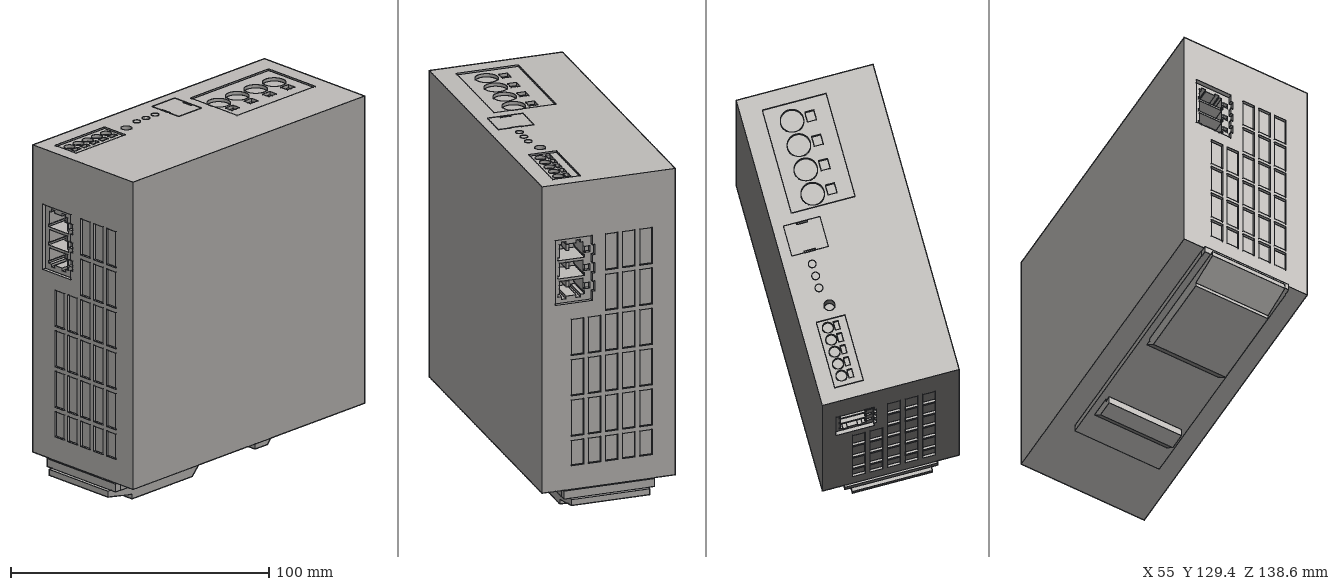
import cadquery as cq
TOTAL_HEIGHT = 138.6
BODY_WIDTH = 55.0
BODY_DEPTH = 127.0
BODY_BOTTOM = 10.3

PLATE_WIDTH = 37.7
PLATE_BOTTOM = 6.9
PLATE_FRONT = -0.8
PLATE_BACK = 100.2
LIP_BACK = 1.8
LIP_INSET = 0.1
CLIP_WIDTH = 32.3
CLIP_FRONT = -2.4
CLIP_NOSE_BOTTOM = 4.5
CLIP_STEP_Y = 10.8
CLIP_STEP_HEIGHT = 2.0
CLIP_BASE_BACK = 43.8
CLIP_ROOT_BACK = 46.8
CLIP_TIP_Y = 48.9
RAIL_SLOT_FLOOR = 5.5
HOOK_BOTTOM = 1.7
HOOK_TIP_Y = 78.2
HOOK_ROOT_FRONT = 80.8
HOOK_BASE_BACK = 85.0
HOOK_ROOT_BACK = 89.7

VENT_WIDTH = 5.1
VENT_HEIGHT = 15.1
VENT_SHORT_HEIGHT = 10.5
VENT_DEPTH = 1.0
VENT_PITCH_X = 7.0
VENT_PITCH_Z = 16.9
VENT_LEFT = -15.4
VENT_TOP = 115.2
VENT_COLUMNS = 5
VENT_ROWS = 6
SHORTENED_COLUMNS = 2
SHORTENED_FIRST_ROW = 2

SOCKET_LEFT = -22.0
SOCKET_WIDTH = 15.4
SOCKET_TOP = 115.3
SOCKET_HEIGHT = 27.2
SOCKET_RECESS = 1.5
CELL_COUNT = 3
CELL_PITCH = 7.6
CELL_LEFT = -19.8
CELL_WIDTH = 9.8
CELL_TOP = 112.5
CELL_HEIGHT = 6.5
CELL_DEPTH = 11.1
FOOT_EXTRA = 0.5
FOOT_HEIGHT = 1.1
PIN_WIDTH = 1.1
PIN_HEIGHT = 2.5
PIN_LENGTH = 6.9
LATCH_SLOT_WIDTH = 2.2
LATCH_SLOT_HEIGHT = 2.5
LATCH_WALL = 0.5
LATCH_SLOT_DEPTH = 1.4
FRAME_NOTCH_WIDTH = 1.0
FRAME_NOTCH_HEIGHT = 4.2
KEY_WIDTH = 1.8
KEY_HEIGHT = 1.1
KEY_OFFSETS = (1.0, 6.9)

OUTPUT_CENTER = (-6.0, 99.1)
OUTPUT_SIZE = (25.6, 42.8)
OUTPUT_RECESS = 0.7
OUTPUT_POLES = 4
OUTPUT_PITCH = 10.1
OUTPUT_FIRST_Y = 113.5
OUTPUT_HOLE_X = -8.7
OUTPUT_HOLE_DIAMETER = 9.1
OUTPUT_SLOT_X = -1.2
OUTPUT_SLOT_SIZE = (3.6, 4.2)
OUTPUT_HOLE_DEPTH = 1.4

SIGNAL_CENTER = (-15.2, 19.3)
SIGNAL_SIZE = (11.5, 27.2)
SIGNAL_RECESS = 0.7
SIGNAL_POLES = 5
SIGNAL_PITCH = 5.0
SIGNAL_FIRST_Y = 29.8
SIGNAL_HOLE_X = -17.2
SIGNAL_HOLE_DIAMETER = 4.3
SIGNAL_SLOT_X = -13.6
SIGNAL_SLOT_SIZE = (2.0, 3.5)
SIGNAL_HOLE_DEPTH = 1.4

COVER_CENTER = (-15.8, 67.2)
COVER_SIZE = (14.7, 12.5)
COVER_RECESS = 0.1
COVER_TAB_SIZE = (4.5, 0.7)
COVER_TAB_DEPTH = 0.7
LAMP_X = -16.4
LAMP_FIRST_Y = 55.9
LAMP_PITCH = 5.0
LAMP_COUNT = 3
LAMP_DIAMETER = 3.0
LAMP_RECESS = 0.1
ADJUSTER_CENTER = (-14.3, 38.1)
ADJUSTER_DIAMETER = 4.3
ADJUSTER_DEPTH = 5.5


def front_pocket(left, top, width, height, depth, start=0.0):
    """Box running from y = start into the housing."""
    return cq.Workplane("XY").box(width, depth, height, centered=False).translate(
        (left, start, top - height)
    )


def top_pocket(center, size, depth, start=0.0):
    """Box sunk below the top face, beginning `start` under it."""
    return (
        cq.Workplane("XY")
        .workplane(offset=TOTAL_HEIGHT - start - depth)
        .center(*center)
        .rect(*size)
        .extrude(depth)
    )


def top_hole(center, diameter, depth, start=0.0):
    """Round blind hole sunk below the top face, beginning `start` under it."""
    return (
        cq.Workplane("XY")
        .workplane(offset=TOTAL_HEIGHT - start - depth)
        .center(*center)
        .circle(diameter / 2)
        .extrude(depth)
    )


def side_profile(points, width):
    """Extrude a (y, z) outline symmetrically along X."""
    return cq.Workplane("YZ").polyline(points).close().extrude(width / 2, both=True)


def make_body():
    return cq.Workplane("XY").box(
        BODY_WIDTH, BODY_DEPTH, TOTAL_HEIGHT - BODY_BOTTOM, centered=(True, False, False)
    ).translate((0, 0, BODY_BOTTOM))


def plate_section(front, back, width):
    return cq.Workplane("XY").box(
        width, back - front, BODY_BOTTOM - PLATE_BOTTOM, centered=(True, False, False)
    ).translate((0, front, PLATE_BOTTOM))


def make_rail_mount():
    plate = plate_section(LIP_BACK, PLATE_BACK, PLATE_WIDTH)
    lip = plate_section(PLATE_FRONT, LIP_BACK, PLATE_WIDTH - 2 * LIP_INSET)
    release_clip = side_profile(
        [
            (CLIP_FRONT, PLATE_BOTTOM),
            (CLIP_FRONT, CLIP_NOSE_BOTTOM),
            (CLIP_STEP_Y, CLIP_STEP_HEIGHT),
            (CLIP_STEP_Y, 0),
            (CLIP_BASE_BACK, 0),
            (CLIP_TIP_Y, RAIL_SLOT_FLOOR),
            (CLIP_ROOT_BACK, RAIL_SLOT_FLOOR),
            (CLIP_ROOT_BACK, PLATE_BOTTOM),
        ],
        CLIP_WIDTH,
    )
    fixed_hook = side_profile(
        [
            (HOOK_ROOT_FRONT, PLATE_BOTTOM),
            (HOOK_ROOT_FRONT, RAIL_SLOT_FLOOR),
            (HOOK_TIP_Y, RAIL_SLOT_FLOOR),
            (HOOK_TIP_Y, HOOK_BOTTOM),
            (HOOK_BASE_BACK, HOOK_BOTTOM),
            (HOOK_ROOT_BACK, PLATE_BOTTOM),
        ],
        CLIP_WIDTH,
    )
    return plate.union(lip).union(release_clip).union(fixed_hook)


def cut_vents(body):
    for column in range(VENT_COLUMNS):
        first_row = SHORTENED_FIRST_ROW if column < SHORTENED_COLUMNS else 0
        for row in range(first_row, VENT_ROWS):
            height = VENT_SHORT_HEIGHT if row == VENT_ROWS - 1 else VENT_HEIGHT
            left = VENT_LEFT + column * VENT_PITCH_X
            top = VENT_TOP - row * VENT_PITCH_Z
            body = body.cut(front_pocket(left, top, VENT_WIDTH, height, VENT_DEPTH))
    return body


def cut_input_socket(body):
    body = body.cut(front_pocket(SOCKET_LEFT, SOCKET_TOP, SOCKET_WIDTH, SOCKET_HEIGHT, SOCKET_RECESS))
    socket_right = SOCKET_LEFT + SOCKET_WIDTH
    cell_right = CELL_LEFT + CELL_WIDTH
    back = SOCKET_RECESS + CELL_DEPTH
    for index in range(CELL_COUNT):
        top = CELL_TOP - index * CELL_PITCH
        middle = top - CELL_HEIGHT / 2
        foot_top = top - CELL_HEIGHT + FOOT_HEIGHT
        body = body.cut(front_pocket(CELL_LEFT, top, CELL_WIDTH, CELL_HEIGHT, CELL_DEPTH, SOCKET_RECESS))
        body = body.cut(
            front_pocket(
                CELL_LEFT - FOOT_EXTRA, foot_top,
                CELL_WIDTH + 2 * FOOT_EXTRA, FOOT_HEIGHT, CELL_DEPTH, SOCKET_RECESS,
            )
        )
        body = body.union(
            front_pocket(
                CELL_LEFT + (CELL_WIDTH - PIN_WIDTH) / 2, middle + PIN_HEIGHT / 2,
                PIN_WIDTH, PIN_HEIGHT, PIN_LENGTH, back - PIN_LENGTH,
            )
        )
        body = body.cut(
            front_pocket(
                cell_right + LATCH_WALL, middle + LATCH_SLOT_HEIGHT / 2,
                LATCH_SLOT_WIDTH, LATCH_SLOT_HEIGHT, LATCH_SLOT_DEPTH, SOCKET_RECESS,
            )
        )
        body = body.cut(
            front_pocket(
                socket_right, middle + FRAME_NOTCH_HEIGHT / 2,
                FRAME_NOTCH_WIDTH, FRAME_NOTCH_HEIGHT, SOCKET_RECESS,
            )
        )
    lowest = CELL_TOP - (CELL_COUNT - 1) * CELL_PITCH - CELL_HEIGHT
    for offset in KEY_OFFSETS:
        for top in (CELL_TOP + KEY_HEIGHT, lowest):
            body = body.cut(
                front_pocket(CELL_LEFT + offset, top, KEY_WIDTH, KEY_HEIGHT, CELL_DEPTH, SOCKET_RECESS)
            )
    return body


def cut_terminal_block(
    body, center, size, recess, poles, first_y, pitch, hole_x, hole_diameter, slot_x, slot_size, depth
):
    """Recessed panel with a row of round wire entries, each with a release slot beside it."""
    body = body.cut(top_pocket(center, size, recess))
    for pole in range(poles):
        y = first_y - pole * pitch
        body = body.cut(top_hole((hole_x, y), hole_diameter, depth, recess))
        body = body.cut(top_pocket((slot_x, y), slot_size, depth, recess))
    return body


def cut_indicators(body):
    body = body.cut(top_pocket(COVER_CENTER, COVER_SIZE, COVER_RECESS))
    for side in (-1, 1):
        tab_y = COVER_CENTER[1] + side * (COVER_SIZE[1] - COVER_TAB_SIZE[1]) / 2
        body = body.cut(top_pocket((COVER_CENTER[0], tab_y), COVER_TAB_SIZE, COVER_TAB_DEPTH))
    for lamp in range(LAMP_COUNT):
        y = LAMP_FIRST_Y - lamp * LAMP_PITCH
        body = body.cut(top_hole((LAMP_X, y), LAMP_DIAMETER, LAMP_RECESS))
    return body.cut(top_hole(ADJUSTER_CENTER, ADJUSTER_DIAMETER, ADJUSTER_DEPTH))


housing = cut_vents(make_body())
housing = cut_input_socket(housing)
housing = cut_terminal_block(
    housing, OUTPUT_CENTER, OUTPUT_SIZE, OUTPUT_RECESS, OUTPUT_POLES, OUTPUT_FIRST_Y, OUTPUT_PITCH,
    OUTPUT_HOLE_X, OUTPUT_HOLE_DIAMETER, OUTPUT_SLOT_X, OUTPUT_SLOT_SIZE, OUTPUT_HOLE_DEPTH,
)
housing = cut_terminal_block(
    housing, SIGNAL_CENTER, SIGNAL_SIZE, SIGNAL_RECESS, SIGNAL_POLES, SIGNAL_FIRST_Y, SIGNAL_PITCH,
    SIGNAL_HOLE_X, SIGNAL_HOLE_DIAMETER, SIGNAL_SLOT_X, SIGNAL_SLOT_SIZE, SIGNAL_HOLE_DEPTH,
)
housing = cut_indicators(housing)

result = housing.union(make_rail_mount())